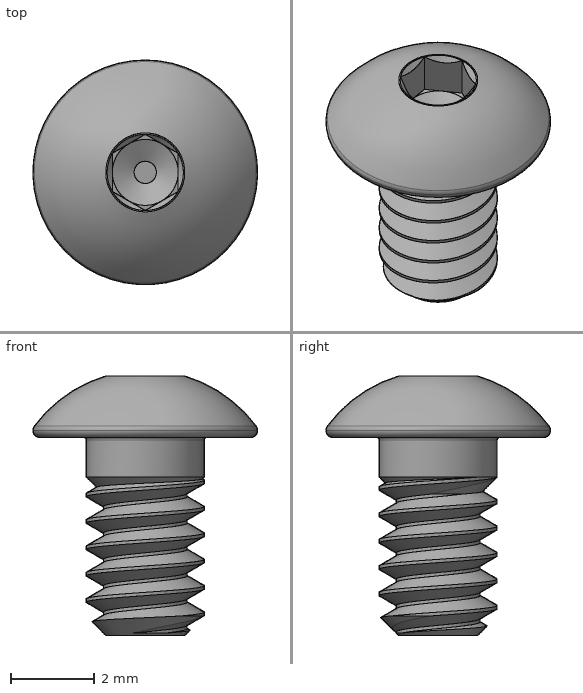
import cadquery as cq
import math

INCH = 25.4

head_radius = 5.41 / 2
head_height = 1.485
head_top_radius = 0.95
rim_radius = 0.175
underhead_fillet = 0.05

socket_flats = INCH / 16
socket_depth = 1.03
socket_floor_radius = 0.268
socket_cone_angle = math.radians(24)

shank_radius = 0.112 * INCH / 2
shank_length = 3 / 16 * INCH
plain_length = 0.945
tip_radius = 0.95
pitch = INCH / 40
flank_half_angle = math.radians(30)
crest_height_above_tip = 0.366

thread_flat = pitch / 8
flank_width = (pitch - 2 * thread_flat) / 2
root_radius = shank_radius - flank_width / math.tan(flank_half_angle)
ridge_overlap = 0.04


def dome_center_height():
    """Height of the dome's center, on the axis.

    The dome passes through the edge of the flat top and is tangent to the rim round,
    so (dome radius - rim radius) is the distance from its center to the rim round's center.
    """
    rim_y = head_radius - rim_radius

    def mismatch(z):
        dome_radius = math.hypot(head_top_radius, head_height - z)
        return dome_radius - rim_radius - math.hypot(rim_y, rim_radius - z)

    low = -2 * head_radius
    high = 0
    halvings = 60
    for _ in range(halvings):
        middle = (low + high) / 2
        if mismatch(middle) * mismatch(low) > 0:
            low = middle
        else:
            high = middle
    return (low + high) / 2


def on_circle(center_y, center_z, radius, angle):
    """Point on a circle in the YZ plane, its angle measured from +Y toward +Z."""
    return (center_y + radius * math.cos(angle), center_z + radius * math.sin(angle))


def make_head():
    """Domed head and the plain shank, joined by the fillet under the head."""
    dome_z = dome_center_height()
    dome_radius = math.hypot(head_top_radius, head_height - dome_z)
    rim_y = head_radius - rim_radius
    rim_angle = math.atan2(rim_radius - dome_z, rim_y)
    top_angle = math.atan2(head_height - dome_z, head_top_radius)
    fillet_y = shank_radius + underhead_fillet
    profile = (
        cq.Workplane("YZ")
        .moveTo(0, -plain_length)
        .lineTo(shank_radius, -plain_length)
        .lineTo(shank_radius, -underhead_fillet)
        .threePointArc(
            on_circle(fillet_y, -underhead_fillet, underhead_fillet, math.radians(135)),
            (fillet_y, 0),
        )
        .lineTo(rim_y, 0)
        .threePointArc(
            on_circle(rim_y, rim_radius, rim_radius, math.radians(-45)),
            (head_radius, rim_radius),
        )
        .threePointArc(
            on_circle(rim_y, rim_radius, rim_radius, rim_angle / 2),
            on_circle(rim_y, rim_radius, rim_radius, rim_angle),
        )
        .threePointArc(
            on_circle(0, dome_z, dome_radius, (rim_angle + top_angle) / 2),
            (head_top_radius, head_height),
        )
        .lineTo(0, head_height)
        .close()
    )
    return profile.revolve(360, (0, 0), (0, 1))


def make_socket():
    """Hexagon with corners on the Y axis, a 45 degree lead-in and a blunt conical floor."""
    inscribed_radius = socket_flats / 2
    corner_radius = inscribed_radius / math.cos(math.pi / 6)
    cone_depth = (inscribed_radius - socket_floor_radius) * math.tan(socket_cone_angle)
    hexagon = (
        cq.Workplane("XY", origin=(0, 0, head_height - socket_depth))
        .polygon(6, 2 * corner_radius)
        .extrude(socket_depth)
        .rotate((0, 0, 0), (0, 0, 1), 30)
    )
    lead_in = cq.Solid.makeCone(
        0, corner_radius, corner_radius, pnt=cq.Vector(0, 0, head_height - corner_radius)
    )
    floor_cone = cq.Solid.makeCone(
        socket_floor_radius,
        inscribed_radius,
        cone_depth,
        pnt=cq.Vector(0, 0, head_height - socket_depth - cone_depth),
    )
    return hexagon.union(lead_in).union(floor_cone)


def make_core():
    """Thread core at the root diameter, with the 45 degree cone that runs out of the plain shank."""
    cone_height = shank_radius - root_radius
    return (
        cq.Workplane("YZ")
        .moveTo(0, -shank_length)
        .lineTo(root_radius, -shank_length)
        .lineTo(root_radius, -plain_length - cone_height)
        .lineTo(shank_radius, -plain_length)
        .lineTo(0, -plain_length)
        .close()
        .revolve(360, (0, 0), (0, 1))
    )


def make_ridge():
    """Right-handed helical ridge, running from below the tip to above the threaded length.

    It starts on the -Y side, opposite the seam of the core, which keeps their union clean.
    """
    lead_in_turns = 2
    start_z = crest_height_above_tip - shank_length - lead_in_turns * pitch
    turns = math.ceil((-plain_length - start_z) / pitch) + 1
    path = cq.Workplane(cq.Wire.makeHelix(pitch, turns * pitch, root_radius)).translate((0, 0, start_z))
    base_radius = root_radius - ridge_overlap
    crest_half = thread_flat / 2
    base_half = crest_half + (shank_radius - base_radius) * math.tan(flank_half_angle)
    section = (
        cq.Workplane("XZ")
        .moveTo(base_radius, start_z - base_half)
        .lineTo(shank_radius, start_z - crest_half)
        .lineTo(shank_radius, start_z + crest_half)
        .lineTo(base_radius, start_z + base_half)
        .close()
    )
    ridge_from_x = section.sweep(path, isFrenet=True)
    return ridge_from_x.rotate((0, 0, 0), (0, 0, 1), -90)


def make_thread_envelope():
    """Clear space between the plain shank and the tip, tapered at 45 degrees to form the point."""
    clear_radius = 2 * shank_radius
    return (
        cq.Workplane("YZ")
        .moveTo(0, -shank_length)
        .lineTo(tip_radius, -shank_length)
        .lineTo(clear_radius, -shank_length + clear_radius - tip_radius)
        .lineTo(clear_radius, -plain_length)
        .lineTo(0, -plain_length)
        .close()
        .revolve(360, (0, 0), (0, 1))
    )


def make_thread():
    """Threaded length of the shank with its pointed tip."""
    envelope = make_thread_envelope()
    core = make_core().intersect(envelope)
    ridge = make_ridge().intersect(envelope)
    return core.union(ridge)


head = make_head().cut(make_socket())
result = head.union(make_thread())